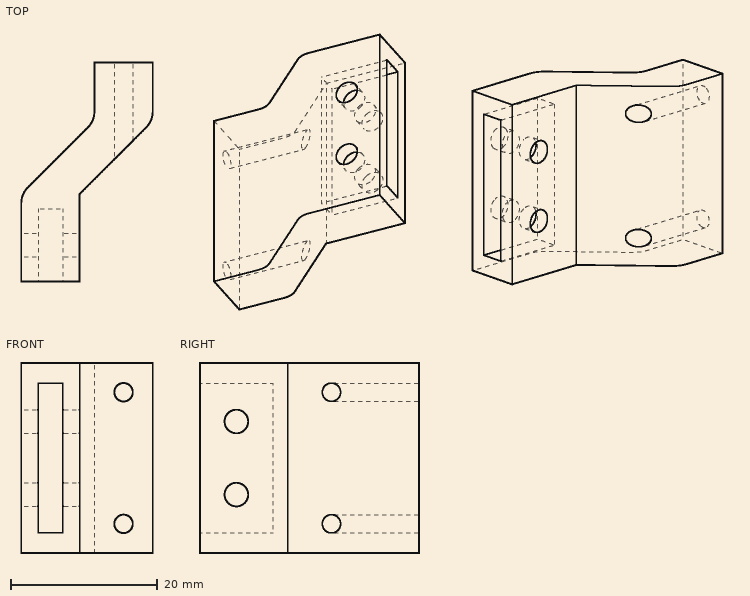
import cadquery as cq

height = 26.0
length = 30.0
arm_thickness = 8.0
arm_offset = 10.0
front_arm_length = 12.0
bend_radius = 3.0

slot_width = 3.4
slot_height = 20.4
slot_depth = 10.0

cross_hole_diameter = 3.2
cross_hole_spacing = 10.0
cross_hole_y = 5.0

mount_hole_diameter = 2.5
mount_hole_spacing = 18.0

width = arm_thickness + arm_offset
rear_bend_y = front_arm_length + arm_offset
mid_z = height / 2
slot_center_x = arm_thickness / 2
rear_arm_center_x = arm_offset + arm_thickness / 2


def make_body():
    """Z-shaped bar with three of its four bend edges rounded."""
    outline = [
        (0, 0),
        (arm_thickness, 0),
        (arm_thickness, front_arm_length),
        (width, rear_bend_y),
        (width, length),
        (arm_offset, length),
        (arm_offset, rear_bend_y),
        (0, front_arm_length),
    ]
    body = cq.Workplane("XY").polyline(outline).close().extrude(height)
    rounded_bends = [
        (0, front_arm_length),
        (arm_offset, rear_bend_y),
        (width, rear_bend_y),
    ]
    for x, y in rounded_bends:
        nearest_edge = cq.selectors.NearestToPointSelector((x, y, mid_z))
        body = body.edges("|Z").edges(nearest_edge).fillet(bend_radius)
    return body


def make_slot():
    """Blind rectangular pocket running back from the front end face."""
    slot = cq.Workplane("XY").box(slot_width, slot_depth, slot_height)
    return slot.translate((slot_center_x, slot_depth / 2, mid_z))


def make_hole_pair(start, axis, spacing, diameter, depth):
    """Two cylinders along the axis, spaced in Z about the start point."""
    pair = cq.Workplane("XY")
    for side in (-1, 1):
        base = cq.Vector(*start) + cq.Vector(0, 0, side * spacing / 2)
        pair = pair.add(cq.Solid.makeCylinder(diameter / 2, depth, base, cq.Vector(*axis)))
    return pair.combine()


cross_holes = make_hole_pair(
    (0, cross_hole_y, mid_z), (1, 0, 0), cross_hole_spacing, cross_hole_diameter, arm_thickness
)
mount_holes = make_hole_pair(
    (rear_arm_center_x, 0, mid_z), (0, 1, 0), mount_hole_spacing, mount_hole_diameter, length
)

result = make_body().cut(make_slot()).cut(cross_holes).cut(mount_holes)